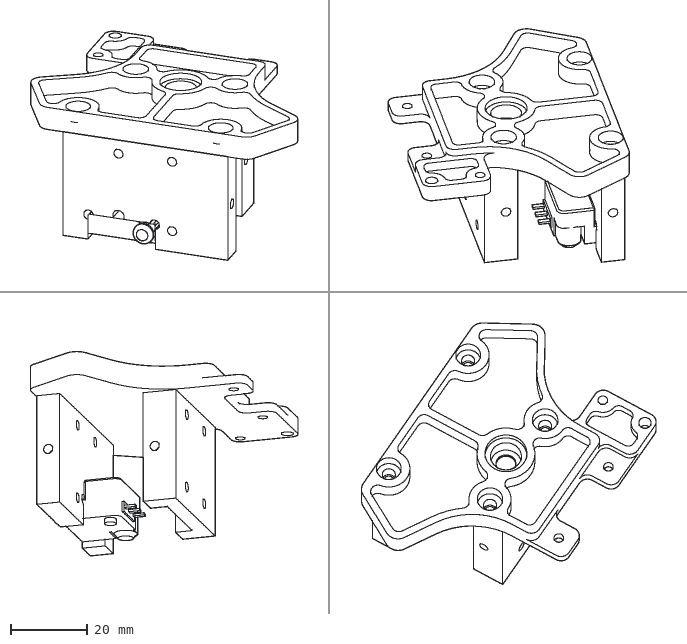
import cadquery as cq
import math


PLATE_THICK = 6.4
OVERALL_WIDTH = 74.31
WING_ROUND = 3.4
FRONT_Y = -27.3
NECK_HALF_WIDTH = 17.3
NECK_TOP_Y = 19.33
NECK_ROUND = 2.4
WAIST_RADIUS = 20.0
WAIST_START_Y = 12.4
WING_ANGLE = 30.0

BACK_Y = 28.5
EAR_THICK = 2.4
EAR_INNER_X = 7.9
EAR_ROUND = 2.4
EAR_HOLE_DIA = 2.5
EAR_HOLE_X = 12.5
EAR_HOLE_Y = 23.93
TAB_THICK = 4.4
TAB_LEFT_X = -30.83
TAB_FRONT_Y = 10.17
TAB_ROUND = 2.5
TAB_HOLE_X = -27.8
TAB_HOLES = [(25.83, 3.2), (12.83, 2.5)]
TAB_PAD_RADIUS = 3.65

POCKET_FLOOR = 1.9
RIM = 2.0
RIB_WIDTH = 2.1
CUTTER_RADIUS = 1.7
WING_CUTTER_RADIUS = 1.9

HUB_RADIUS = 7.6
HUB_STEPS = [(11.0, 1.6), (8.1, 5.6), (5.2, PLATE_THICK)]

SCREW_CLEARANCE_DIA = 3.4
SCREW_HEAD_DEPTH = 3.2
SCREW_PAD_RADIUS = 5.53
FRONT_SCREW_X = 19.96
FRONT_SCREW_HEAD_DIA = 6.5
REAR_SCREW_X = 13.88
REAR_SCREW_HEAD_DIA = 6.7

WALL_HEIGHT = 30.0
TAP_DIA = 2.5
TOP_TAP_DEPTH = 10.0
SIDE_TAP_DEPTH = 5.0
TAP_POINT_ANGLE = 118.0
FRONT_WALL_HALF_WIDTH = 23.1
FRONT_WALL_THICK = 6.35
FRONT_WALL_SETBACK = 0.25
FRONT_WALL_FRONT_Y = FRONT_Y + FRONT_WALL_SETBACK
FRONT_WALL_BACK_Y = FRONT_WALL_FRONT_Y + FRONT_WALL_THICK
FRONT_SCREW_Y = FRONT_WALL_FRONT_Y + FRONT_WALL_THICK / 2
REAR_WALL_HALF_WIDTH = 17.0
REAR_WALL_THICK = 9.0
REAR_WALL_FRONT_Y = 0.4
REAR_SCREW_Y = REAR_WALL_FRONT_Y + FRONT_WALL_THICK / 2
CHANNEL_HALF_WIDTH = 10.7
CHANNEL_DEPTH = 4.65
MOUNT_HOLE_DIA = 2.5
MOUNT_HALF_PITCH_X = 7.5
MOUNT_TOP_Z = -4.0
MOUNT_PITCH_Z = 20.0
SIDE_TAP_Z = -WALL_HEIGHT / 2

CASE_LEFT_X = -16.1
CASE_RIGHT_X = 2.8
CASE_BOTTOM_Z = -28.26
CASE_LEDGE_Z = -22.7
CASE_TOP_Z = -17.6
CASE_BACK_Y = -10.6
CASE_UPPER_FRONT_Y = -20.65
CASE_CHAMFER = 0.5
CASE_BACK_ROUND = 2.0
RELIEF_DIA = 2.65
RELIEF_INSET = 0.2
SLOT_DIA = 3.2
SLOT_CENTRE_Z = -22.0
POST_Y = -14.1
POST_DIA = 3.1
POST_BOTTOM_Z = -29.5
NOTCH_FRONT_Y = -17.7
NOTCH_RIGHT_X = -10.5
PAD_WIDTH = 6.1
PAD_ROUND = 2.45
CONE_BOTTOM_DIA = 4.1

SWITCH_AXIS_Z = -25.3
NOSE_DIA = 5.6
NOSE_FILLET = 1.0
NOSE_END_Y = FRONT_WALL_FRONT_Y - NOSE_FILLET
BOOT_GROOVE_DIA = 5.5
BOOT_GROOVE_END_Y = -28.5
BOOT_END_Y = -29.45
BOOT_ROUND = 0.8
PLUNGER_DIA = 3.17
OVERALL_DEPTH = 59.32
PLUNGER_TIP_Y = BACK_Y - OVERALL_DEPTH
PLUNGER_BACK_Y = -26.0

SEAL_LENGTH = 9.2
SEAL_HEIGHT = 2.8
SEAL_THICK = 0.5
TERMINAL_PITCH = 3.8
TERMINAL_COUNT = 3
TERMINAL_WIDTH = 1.4
TERMINAL_THICK = 0.6
TERMINAL_END_Y = -7.1
TERMINAL_MID_X = (NOTCH_RIGHT_X + CASE_RIGHT_X) / 2

PLATE_SCREWS = [
    (side * x, y, head_dia)
    for x, y, head_dia in (
        (FRONT_SCREW_X, FRONT_SCREW_Y, FRONT_SCREW_HEAD_DIA),
        (REAR_SCREW_X, REAR_SCREW_Y, REAR_SCREW_HEAD_DIA),
    )
    for side in (-1, 1)
]


def block(x_range, y_range, z_range):
    """Box between the given limits on each axis."""
    size = [high - low for low, high in (x_range, y_range, z_range)]
    return cq.Workplane("XY").box(*size, centered=False).translate((x_range[0], y_range[0], z_range[0]))


def cylinder_z(x, y, dia, z_low, z_high):
    """Upright cylinder."""
    return cq.Workplane("XY", origin=(x, y, z_low)).circle(dia / 2).extrude(z_high - z_low)


def cylinder_y(x, z, dia, y_low, y_high):
    """Cylinder running front to back."""
    return cq.Workplane("XZ", origin=(x, y_high, z)).circle(dia / 2).extrude(y_high - y_low)


def tapped_hole(entry, direction, depth):
    """Blind drilled hole with a conical end."""
    radius = TAP_DIA / 2
    point_depth = radius / math.tan(math.radians(TAP_POINT_ANGLE / 2))
    bore = cq.Solid.makeCylinder(radius, depth, cq.Vector(*entry), cq.Vector(*direction))
    bottom = cq.Vector(*entry) + cq.Vector(*direction) * depth
    point = cq.Solid.makeCone(radius, 0, point_depth, bottom, cq.Vector(*direction))
    return cq.Workplane(bore).union(cq.Workplane(point))


def fillet_upright_edge(solid, x, y, thick, radius):
    """Round the upright edge nearest to (x, y)."""
    edge = cq.selectors.NearestToPointSelector((x, y, thick / 2))
    return solid.edges("|Z").edges(edge).fillet(radius)


def milled_pockets(cutter_area, cutter_radius, top_z):
    """Pockets swept by a round cutter whose axis may reach every part of cutter_area."""
    pockets = cq.Workplane("XY")
    for area in cutter_area.solids().vals():
        wire = cq.Workplane(area).faces("<Z").val().outerWire()
        outline = wire.offset2D(cutter_radius, "arc")[0]
        pocket = cq.Workplane("XY").add(outline).toPending().extrude(top_z - POCKET_FLOOR)
        pockets = pockets.add(pocket.translate((0, 0, POCKET_FLOOR)))
    return pockets


def plate_outline(inset):
    """Sharp-cornered plate outline, moved inwards by inset, with the two waist arcs."""
    slope = math.radians(WING_ANGLE)
    half_neck = NECK_HALF_WIDTH - inset
    waist_radius = WAIST_RADIUS + inset
    waist_x = NECK_HALF_WIDTH + WAIST_RADIUS

    def waist_point(angle):
        return (waist_x - waist_radius * math.cos(angle), WAIST_START_Y - waist_radius * math.sin(angle))

    sweep = math.pi / 2 - slope
    waist_mid = waist_point(sweep / 2)
    waist_end = waist_point(sweep)

    tip_centre_x = OVERALL_WIDTH / 2 - WING_ROUND
    outer_end_x = waist_x - WAIST_RADIUS * math.sin(slope)
    outer_end_y = WAIST_START_Y - WAIST_RADIUS * math.cos(slope)
    tip_corner_x = tip_centre_x + WING_ROUND * math.sqrt(2) * math.cos(math.pi / 4 - slope)
    tip_corner_y = outer_end_y - (tip_corner_x - outer_end_x) * math.tan(slope)
    corner_shift = inset * math.sqrt(2)
    tip = (
        tip_corner_x - corner_shift * math.cos(math.pi / 4 - slope),
        tip_corner_y - corner_shift * math.sin(math.pi / 4 - slope),
    )
    front_y = FRONT_Y + inset
    front_corner = (tip[0] - (tip[1] - front_y) * math.tan(slope), front_y)
    top_y = NECK_TOP_Y - inset

    def mirrored(point):
        return (-point[0], point[1])

    return (
        cq.Workplane("XY")
        .moveTo(*mirrored(front_corner))
        .lineTo(*front_corner)
        .lineTo(*tip)
        .lineTo(*waist_end)
        .threePointArc(waist_mid, (half_neck, WAIST_START_Y))
        .lineTo(half_neck, top_y)
        .lineTo(-half_neck, top_y)
        .lineTo(-half_neck, WAIST_START_Y)
        .threePointArc(mirrored(waist_mid), mirrored(waist_end))
        .lineTo(*mirrored(tip))
        .close()
    )


def plate_body():
    body = plate_outline(0).extrude(PLATE_THICK)
    body = body.edges("|Z and >Y").fillet(NECK_ROUND)
    body = body.edges("|Z and <Y").fillet(WING_ROUND)
    return body.edges("|Z and (<X or >X)").fillet(WING_ROUND)


def side_tab():
    """Left tab; its right end runs into the neck and blends into the top edge of the neck."""
    right_x = -NECK_HALF_WIDTH
    blend_x = right_x + EAR_ROUND
    blend_y = NECK_TOP_Y + EAR_ROUND
    diagonal = EAR_ROUND * math.sqrt(0.5)
    tab = (
        cq.Workplane("XY")
        .moveTo(TAB_LEFT_X, TAB_FRONT_Y)
        .lineTo(TAB_LEFT_X, BACK_Y)
        .lineTo(right_x, BACK_Y)
        .lineTo(right_x, blend_y)
        .threePointArc((blend_x - diagonal, blend_y - diagonal), (blend_x, NECK_TOP_Y))
        .lineTo(blend_x, TAB_FRONT_Y)
        .close()
        .extrude(TAB_THICK)
    )
    tab = tab.edges("|Z and <X").fillet(TAB_ROUND)
    return fillet_upright_edge(tab, right_x, BACK_Y, TAB_THICK, TAB_ROUND)


def ear(inner_x, outer_x, rounded):
    low_x, high_x = sorted((inner_x, outer_x))
    tongue = block((low_x, high_x), (NECK_TOP_Y - NECK_ROUND, BACK_Y), (0, EAR_THICK))
    return tongue.edges(rounded).fillet(EAR_ROUND)


def main_pockets(cutter_radius, y_range):
    """Pockets between rim, hub, screw pads and centre rib, with the cutter axis kept inside y_range."""
    cutter_area = plate_outline(RIM + cutter_radius).extrude(PLATE_THICK)
    span = block((-OVERALL_WIDTH, OVERALL_WIDTH), y_range, (0, PLATE_THICK))
    cutter_area = cutter_area.intersect(span)
    cutter_area = cutter_area.cut(cylinder_z(0, 0, 2 * (HUB_RADIUS + cutter_radius), 0, PLATE_THICK))
    keep_out_dia = 2 * (SCREW_PAD_RADIUS + cutter_radius)
    for x, y, _ in PLATE_SCREWS:
        cutter_area = cutter_area.cut(cylinder_z(x, y, keep_out_dia, 0, PLATE_THICK))
    half_rib = RIB_WIDTH / 2 + cutter_radius
    cutter_area = cutter_area.cut(block((-half_rib, half_rib), (FRONT_Y, 0), (0, PLATE_THICK)))
    return milled_pockets(cutter_area, cutter_radius, PLATE_THICK)


def tab_pocket():
    inset = RIM + CUTTER_RADIUS
    cutter_area = block(
        (TAB_LEFT_X + inset, -NECK_HALF_WIDTH - inset),
        (TAB_FRONT_Y + inset, BACK_Y - inset),
        (0, TAB_THICK),
    )
    for y, _ in TAB_HOLES:
        cutter_area = cutter_area.cut(
            cylinder_z(TAB_HOLE_X, y, 2 * (TAB_PAD_RADIUS + CUTTER_RADIUS), 0, TAB_THICK)
        )
    return milled_pockets(cutter_area, CUTTER_RADIUS, TAB_THICK)


def make_plate():
    plate = plate_body().union(side_tab())
    plate = plate.union(ear(-EAR_INNER_X, -NECK_HALF_WIDTH - TAB_ROUND, "|Z and >X and >Y"))
    plate = plate.union(ear(EAR_INNER_X, NECK_HALF_WIDTH, "|Z and >Y"))
    for side in (-1, 1):
        plate = fillet_upright_edge(plate, side * EAR_INNER_X, NECK_TOP_Y, EAR_THICK, EAR_ROUND)
    plate = fillet_upright_edge(plate, -NECK_HALF_WIDTH, TAB_FRONT_Y, TAB_THICK, TAB_ROUND)

    neck_pocket = main_pockets(CUTTER_RADIUS, (REAR_SCREW_Y, NECK_TOP_Y))
    wing_pockets = main_pockets(WING_CUTTER_RADIUS, (FRONT_Y, REAR_SCREW_Y))
    for pockets in (neck_pocket, wing_pockets, tab_pocket()):
        for pocket in pockets.solids().vals():
            plate = plate.cut(cq.Workplane(pocket))
    for x, y, head_dia in PLATE_SCREWS:
        plate = plate.cut(cylinder_z(x, y, SCREW_CLEARANCE_DIA, 0, PLATE_THICK))
        plate = plate.cut(cylinder_z(x, y, head_dia, PLATE_THICK - SCREW_HEAD_DEPTH, PLATE_THICK))
    for dia, depth in HUB_STEPS:
        plate = plate.cut(cylinder_z(0, 0, dia, PLATE_THICK - depth, PLATE_THICK))
    for side in (-1, 1):
        plate = plate.cut(cylinder_z(side * EAR_HOLE_X, EAR_HOLE_Y, EAR_HOLE_DIA, 0, EAR_THICK))
    for y, dia in TAB_HOLES:
        plate = plate.cut(cylinder_z(TAB_HOLE_X, y, dia, 0, TAB_THICK))
    return plate


def drill_wall(wall, screw_x, screw_y, half_width, y_range):
    """Cut the screw taps in the top and both ends, and the four mounting holes."""
    for side in (-1, 1):
        wall = wall.cut(tapped_hole((side * screw_x, screw_y, 0), (0, 0, -1), TOP_TAP_DEPTH))
        wall = wall.cut(tapped_hole((side * half_width, screw_y, SIDE_TAP_Z), (-side, 0, 0), SIDE_TAP_DEPTH))
        for z in (MOUNT_TOP_Z, MOUNT_TOP_Z - MOUNT_PITCH_Z):
            wall = wall.cut(cylinder_y(side * MOUNT_HALF_PITCH_X, z, MOUNT_HOLE_DIA, *y_range))
    return wall


def make_front_wall():
    y_range = (FRONT_WALL_FRONT_Y, FRONT_WALL_BACK_Y)
    wall = block((-FRONT_WALL_HALF_WIDTH, FRONT_WALL_HALF_WIDTH), y_range, (-WALL_HEIGHT, 0))
    wall = drill_wall(wall, FRONT_SCREW_X, FRONT_SCREW_Y, FRONT_WALL_HALF_WIDTH, y_range)

    wall = wall.cut(block((CASE_LEFT_X, CASE_RIGHT_X), y_range, (-WALL_HEIGHT, CASE_LEDGE_Z)))
    for x in (CASE_LEFT_X + RELIEF_INSET, CASE_RIGHT_X - RELIEF_INSET):
        wall = wall.cut(cylinder_y(x, CASE_LEDGE_Z - RELIEF_INSET, RELIEF_DIA, *y_range))
    slot_x = (-MOUNT_HALF_PITCH_X - SLOT_DIA / 2, -MOUNT_HALF_PITCH_X + SLOT_DIA / 2)
    wall = wall.cut(block(slot_x, y_range, (CASE_LEDGE_Z, SLOT_CENTRE_Z)))
    return wall.cut(cylinder_y(-MOUNT_HALF_PITCH_X, SLOT_CENTRE_Z, SLOT_DIA, *y_range))


def make_rear_wall():
    y_range = (REAR_WALL_FRONT_Y, REAR_WALL_FRONT_Y + REAR_WALL_THICK)
    channel_y = (REAR_WALL_FRONT_Y, REAR_WALL_FRONT_Y + CHANNEL_DEPTH)
    wall = block((-REAR_WALL_HALF_WIDTH, REAR_WALL_HALF_WIDTH), y_range, (-WALL_HEIGHT, 0))
    wall = wall.cut(block((-CHANNEL_HALF_WIDTH, CHANNEL_HALF_WIDTH), channel_y, (-WALL_HEIGHT, 0)))
    return drill_wall(wall, REAR_SCREW_X, REAR_SCREW_Y, REAR_WALL_HALF_WIDTH, y_range)


def case_shell():
    """Stepped case: the lower part fills the wall opening, the upper part stands behind the wall."""
    x_range = (CASE_LEFT_X, CASE_RIGHT_X)
    lower = block(x_range, (FRONT_WALL_FRONT_Y, CASE_BACK_Y), (CASE_BOTTOM_Z, CASE_LEDGE_Z))
    upper = block(x_range, (CASE_UPPER_FRONT_Y, CASE_BACK_Y), (CASE_BOTTOM_Z, CASE_TOP_Z))
    upper = upper.edges("|Z and >Y").fillet(CASE_BACK_ROUND)
    upper = upper.faces(">Z").edges().chamfer(CASE_CHAMFER)
    upper = upper.edges("|Z and <Y").chamfer(CASE_CHAMFER)
    lower = lower.faces(">Z").edges("|Y").chamfer(CASE_CHAMFER)
    lower = lower.edges("|Z and >Y").fillet(CASE_BACK_ROUND)
    return lower.union(upper)


def mounting_pad():
    """Rounded pad in the notched lower left corner, reaching right to the notch wall."""
    half_width = PAD_WIDTH / 2
    pad = block(
        (CASE_LEFT_X, NOTCH_RIGHT_X),
        (POST_Y - half_width, POST_Y + half_width),
        (CASE_BOTTOM_Z, CASE_LEDGE_Z),
    )
    return pad.edges("|Z and <X").fillet(PAD_ROUND)


def nose():
    """Round nose; its blend into the case front is trimmed to the outline of that front face."""
    root_y = FRONT_WALL_FRONT_Y
    radius = NOSE_DIA / 2
    blend_radius = radius + NOSE_FILLET
    arc_reach = NOSE_FILLET * (1 - math.sqrt(0.5))
    profile = (
        cq.Workplane("XY")
        .moveTo(0, root_y)
        .lineTo(blend_radius, root_y)
        .threePointArc((radius + arc_reach, root_y - arc_reach), (radius, NOSE_END_Y))
        .lineTo(0, NOSE_END_Y)
        .close()
    )
    blend = profile.revolve(360, (0, 0, 0), (0, 1, 0)).translate((0, 0, SWITCH_AXIS_Z))
    front_face = block((CASE_LEFT_X, CASE_RIGHT_X), (NOSE_END_Y, root_y), (CASE_BOTTOM_Z, CASE_LEDGE_Z))
    return blend.intersect(front_face).union(cylinder_y(0, SWITCH_AXIS_Z, NOSE_DIA, NOSE_END_Y, root_y))


def make_case():
    notch = block((CASE_LEFT_X, NOTCH_RIGHT_X), (NOTCH_FRONT_Y, CASE_BACK_Y), (CASE_BOTTOM_Z, CASE_LEDGE_Z))
    case = case_shell().cut(notch).union(mounting_pad())
    cone = cq.Solid.makeCone(
        PAD_WIDTH / 2,
        CONE_BOTTOM_DIA / 2,
        CASE_BOTTOM_Z - POST_BOTTOM_Z,
        cq.Vector(CASE_LEFT_X + PAD_WIDTH / 2, POST_Y, CASE_BOTTOM_Z),
        cq.Vector(0, 0, -1),
    )
    case = case.union(cq.Workplane(cone))
    case = case.union(cylinder_z(0, POST_Y, POST_DIA, POST_BOTTOM_Z, CASE_BOTTOM_Z))
    case = case.union(nose())
    return case.cut(cylinder_y(0, SWITCH_AXIS_Z, PLUNGER_DIA, NOSE_END_Y, PLUNGER_BACK_Y))


def make_boot():
    boot = cylinder_y(0, SWITCH_AXIS_Z, NOSE_DIA, BOOT_END_Y, BOOT_GROOVE_END_Y)
    boot = boot.faces("<Y").edges().fillet(BOOT_ROUND)
    boot = boot.union(cylinder_y(0, SWITCH_AXIS_Z, BOOT_GROOVE_DIA, BOOT_GROOVE_END_Y, NOSE_END_Y))
    return boot.cut(cylinder_y(0, SWITCH_AXIS_Z, PLUNGER_DIA, BOOT_END_Y, NOSE_END_Y))


def make_plunger():
    radius = PLUNGER_DIA / 2
    dome_y = PLUNGER_TIP_Y + radius
    stem = cylinder_y(0, SWITCH_AXIS_Z, PLUNGER_DIA, dome_y, PLUNGER_BACK_Y)
    dome = cq.Workplane("XY", origin=(0, dome_y, SWITCH_AXIS_Z)).sphere(radius, direct=(0, 1, 0))
    return stem.union(dome)


def make_seal():
    half = SEAL_LENGTH / 2
    return block(
        (TERMINAL_MID_X - half, TERMINAL_MID_X + half),
        (CASE_BACK_Y, CASE_BACK_Y + SEAL_THICK),
        (SWITCH_AXIS_Z - SEAL_HEIGHT / 2, SWITCH_AXIS_Z + SEAL_HEIGHT / 2),
    )


def make_terminal(index):
    x = TERMINAL_MID_X + (index - (TERMINAL_COUNT - 1) / 2) * TERMINAL_PITCH
    return block(
        (x - TERMINAL_WIDTH / 2, x + TERMINAL_WIDTH / 2),
        (CASE_BACK_Y + SEAL_THICK, TERMINAL_END_Y),
        (SWITCH_AXIS_Z - TERMINAL_THICK / 2, SWITCH_AXIS_Z + TERMINAL_THICK / 2),
    )


plate = make_plate()
front_wall = make_front_wall()
rear_wall = make_rear_wall()
case = make_case()
boot = make_boot()
plunger = make_plunger()
seal = make_seal()
terminals = [make_terminal(i) for i in range(TERMINAL_COUNT)]

result = cq.Compound.makeCompound(
    [
        plate.val(),
        front_wall.val(),
        rear_wall.val(),
        case.val(),
        boot.val(),
        plunger.val(),
        seal.val(),
        *[terminal.val() for terminal in terminals],
    ]
)